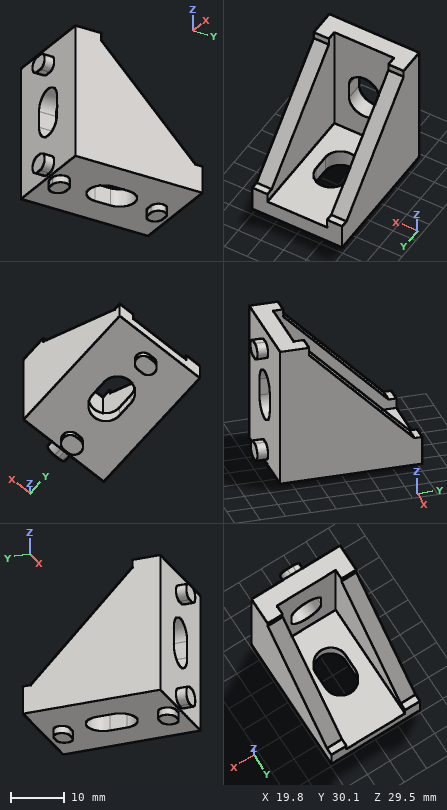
import cadquery as cq

width = 19.8
leg_length = 28.0
plate_thickness = 3.7
side_wall_thickness = 3.35

end_height = 5.7
end_step = 1.55

screw_slot_length = 10.0
screw_slot_width = 6.6
screw_slot_position = leg_length / 2

peg_width = 4.4
near_peg_size = 3.5
near_peg_position = 2.45
far_peg_size = 3.2
far_peg_position = 23.9
front_peg_height = 2.1
bottom_peg_height = 1.5


def front_plane():
    """Sketch plane on the front face: local x is X, local y is Z, normal is -Y."""
    return cq.Workplane("XZ")


def bottom_plane():
    """Sketch plane on the bottom face: local x is X, local y is Y, normal is +Z."""
    return cq.Workplane("XY")


def make_body():
    """Triangular block with square ends, hollowed between its side walls."""
    slope_end = leg_length - end_step
    block = (
        cq.Workplane("YZ")
        .moveTo(0, 0)
        .lineTo(leg_length, 0)
        .lineTo(leg_length, end_height)
        .lineTo(slope_end, end_height)
        .lineTo(end_height, slope_end)
        .lineTo(end_height, leg_length)
        .lineTo(0, leg_length)
        .close()
        .extrude(width / 2, both=True)
    )
    channel_width = width - 2 * side_wall_thickness
    channel = cq.Workplane("XY").box(
        channel_width, leg_length, leg_length, centered=(True, False, False)
    ).translate((0, plate_thickness, plate_thickness))
    return block.cut(channel)


def screw_slot(plane, depth):
    """Cutter for the slot through one plate."""
    return (
        plane.center(0, screw_slot_position)
        .slot2D(screw_slot_length, screw_slot_width, 90)
        .extrude(depth)
    )


def peg(plane, position, size, height):
    """Round-ended peg, `position` along the plate from the outer corner."""
    return plane.center(0, position).slot2D(peg_width, size).extrude(height)


result = make_body()

result = result.cut(screw_slot(front_plane(), -plate_thickness))
result = result.cut(screw_slot(bottom_plane(), plate_thickness))

for peg_position, peg_size in (
    (near_peg_position, near_peg_size),
    (far_peg_position, far_peg_size),
):
    result = result.union(peg(front_plane(), peg_position, peg_size, front_peg_height))
    result = result.union(peg(bottom_plane(), peg_position, peg_size, -bottom_peg_height))